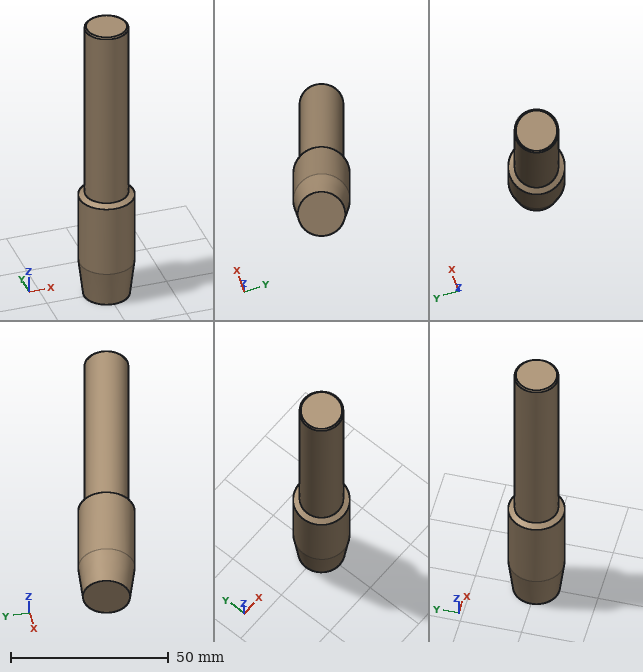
import cadquery as cq

total_length = 100.0

head_diameter = 18.0
nose_diameter = 15.0
nose_length = 12.5
barrel_top = 36.8
head_length = 37.9

shank_diameter = 14.0
shank_chamfer = 0.5


def make_head():
    """Turned solid whose shoulder narrows to the shank diameter."""
    head_radius = head_diameter / 2
    return (
        cq.Workplane("XZ")
        .moveTo(0, 0)
        .lineTo(nose_diameter / 2, 0)
        .lineTo(head_radius, nose_length)
        .lineTo(head_radius, barrel_top)
        .lineTo(shank_diameter / 2, head_length)
        .lineTo(0, head_length)
        .close()
        .revolve(360, (0, 0, 0), (0, 1, 0))
    )


def make_shank():
    """Round bar from the top of the head to the full length of the part."""
    bar = (
        cq.Workplane("XY")
        .workplane(offset=head_length)
        .circle(shank_diameter / 2)
        .extrude(total_length - head_length)
    )
    return bar.faces(">Z").edges().chamfer(shank_chamfer)


head = make_head()
shank = make_shank()

result = cq.Compound.makeCompound([head.val(), shank.val()])